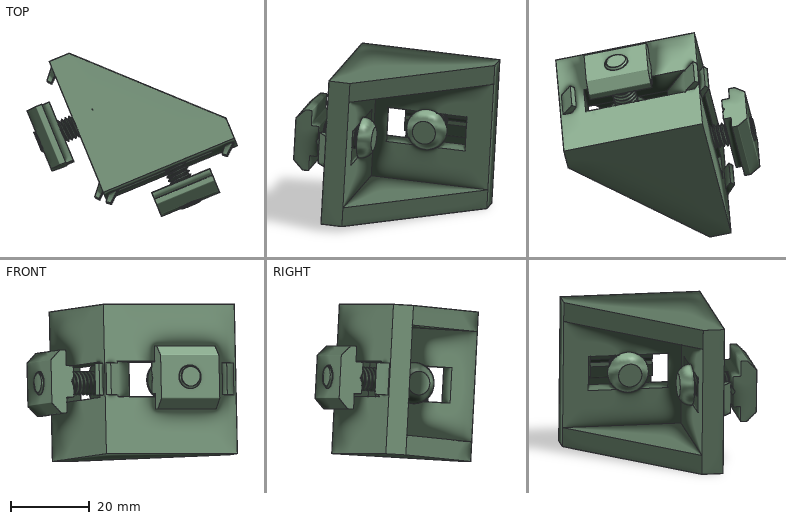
import cadquery as cq

TURN = 22.47
TILT = 3.16

LEG = 36.0
HEIGHT = 38.0
END_WIDTH = 5.5
WALL = 5.5
PLATE = 5.0
SLOT_HEIGHT = 9.0
SLOT_START = 3.5
SLOT_END = 29.5

LUG_HEIGHT = 8.1
LUG_FOOT = 2.3
LUG_REACH = 2.4
LUG_LEAN = 2.8
LUG_TIP_RUN = 0.95
LUG_TIP_RISE = 0.8
LUG_PITCH = 31.85

SCREW_POSITION = 19.3
SCREW_LENGTH = 16.0
SCREW_DIAMETER = 6.0
THREAD_PITCH = 1.0
THREAD_DEPTH = 0.6
THREAD_RUN_OUT = 0.7
THREAD_BASE = 0.8
THREAD_SINK = 0.1
THREAD_PHASE = 217.0
TIP_CHAMFER = 0.4
HEAD_DIAMETER = 10.5
HEAD_TOP_DIAMETER = 6.0
HEAD_HEIGHT = 3.3
HEAD_BULGE = 0.65

NUT_LENGTH = 16.0
NUT_WIDTH = 16.0
NUT_CHAMFER = 2.5
FLANGE_THICKNESS = 4.1
NECK_WIDTH = 8.0
NECK_HEIGHT = 2.0
NUT_ROUNDING = 0.3
GROOVE_WIDTH = 1.9
GROOVE_DEPTH = 0.55
TIP_PROTRUSION = 0.5


def mirror_to_other_leg(shape):
    """Mirror across the diagonal plane x = y, from the front wall to the side wall."""
    return shape.mirror(cq.Vector(1, -1, 0), (0, 0, 0))


def make_bracket():
    """Hollow corner block open on its sloping side, with a slot and two lugs on each wall."""
    block = (
        cq.Workplane("XY")
        .polyline([(0, 0), (LEG, 0), (LEG, END_WIDTH), (END_WIDTH, LEG), (0, LEG)])
        .close()
        .extrude(HEIGHT / 2, both=True)
    )
    cavity = (
        cq.Workplane("XY")
        .polyline([(WALL, WALL), (LEG + WALL, WALL), (WALL, LEG + WALL)])
        .close()
        .extrude(HEIGHT / 2 - PLATE, both=True)
    )
    slot = (
        cq.Workplane("XY")
        .polyline([(SLOT_START, 0), (SLOT_END, 0), (SLOT_END, WALL), (SLOT_START + WALL, WALL)])
        .close()
        .extrude(SLOT_HEIGHT / 2, both=True)
    )
    bracket = block.cut(cavity).cut(slot).cut(mirror_to_other_leg(slot))
    for foot_end in (SLOT_START, SLOT_START + LUG_PITCH):
        tip = foot_end - LUG_LEAN
        lug = (
            cq.Workplane("XY")
            .polyline([
                (foot_end, 0),
                (tip, -LUG_REACH),
                (tip - LUG_TIP_RUN, LUG_TIP_RISE - LUG_REACH),
                (foot_end - LUG_FOOT, 0),
            ])
            .close()
            .extrude(LUG_HEIGHT / 2, both=True)
        )
        bracket = bracket.union(lug).union(mirror_to_other_leg(lug))
    return bracket


def make_thread():
    """Right-hand helical ridge along +Z, sunk a little into the core and running past both ends."""
    root = SCREW_DIAMETER / 2 - THREAD_DEPTH - THREAD_SINK
    half_base = THREAD_BASE / 2 * (1 + THREAD_SINK / THREAD_DEPTH)
    helix = cq.Wire.makeHelix(THREAD_PITCH, SCREW_LENGTH + 2 * THREAD_RUN_OUT, SCREW_DIAMETER / 2)
    return (
        cq.Workplane("XZ")
        .polyline([(root, -half_base), (SCREW_DIAMETER / 2, 0), (root, half_base)])
        .close()
        .sweep(cq.Workplane(obj=helix), isFrenet=True)
        .rotate((0, 0, 0), (0, 0, 1), THREAD_PHASE)
        .translate((0, 0, -THREAD_RUN_OUT))
    )


def make_screw():
    """Screw along -Y through the front wall, its head against the wall's inner face."""
    shank_radius = SCREW_DIAMETER / 2
    head_radius = HEAD_DIAMETER / 2
    clear_radius = shank_radius + THREAD_SINK
    tip_radius = shank_radius - TIP_CHAMFER
    envelope = (
        cq.Workplane("XZ")
        .moveTo(0, -HEAD_HEIGHT)
        .lineTo(HEAD_TOP_DIAMETER / 2, -HEAD_HEIGHT)
        .sagittaArc((head_radius, 0), -HEAD_BULGE)
        .lineTo(clear_radius, 0)
        .lineTo(clear_radius, SCREW_LENGTH - (clear_radius - tip_radius))
        .lineTo(tip_radius, SCREW_LENGTH)
        .lineTo(0, SCREW_LENGTH)
        .close()
        .revolve(360, (0, 0, 0), (0, 1, 0))
    )
    core = cq.Workplane("XY").circle(shank_radius - THREAD_DEPTH).extrude(SCREW_LENGTH + THREAD_PITCH)
    head = cq.Workplane("XY").circle(head_radius).extrude(-HEAD_HEIGHT)
    screw = core.union(make_thread()).union(head).intersect(envelope)
    return screw.rotate((0, 0, 0), (1, 0, 0), 90).translate((0, WALL, 0))


def make_nut():
    """Slot nut on the screw axis, its flange outward and its neck toward the wall."""
    top = FLANGE_THICKNESS + NECK_HEIGHT
    flange_edge = NUT_WIDTH / 2
    face_edge = flange_edge - NUT_CHAMFER
    neck_edge = NECK_WIDTH / 2
    half_outline = [
        (top, GROOVE_WIDTH / 2),
        (top, neck_edge),
        (FLANGE_THICKNESS, neck_edge),
        (FLANGE_THICKNESS, flange_edge),
        (NUT_CHAMFER, flange_edge),
        (0, face_edge),
    ]
    other_half = [(y, -z) for y, z in reversed(half_outline)]
    nut = (
        cq.Workplane("YZ")
        .polyline([(top - GROOVE_DEPTH, 0)] + half_outline + other_half)
        .close()
        .extrude(NUT_LENGTH / 2, both=True)
    )
    for side in (1, -1):
        for y, z in half_outline[1:]:
            nut = nut.edges(cq.selectors.NearestToPointSelector((0, y, side * z))).fillet(NUT_ROUNDING)
    screw_hole = cq.Workplane("XZ").circle(SCREW_DIAMETER / 2).extrude(-top)
    outer_face = WALL - SCREW_LENGTH + TIP_PROTRUSION
    return nut.cut(screw_hole).translate((0, outer_face, 0))


def on_both_walls(body):
    """A copy of the body on the front wall and another turned onto the side wall."""
    front = body.translate((SCREW_POSITION, 0, 0))
    side = body.rotate((0, 0, 0), (0, 0, 1), -90).translate((0, SCREW_POSITION, 0))
    return [front, side]


def place(body):
    """Lean and turn a body from the bracket's own axes into its final attitude."""
    return body.rotate((0, 0, 0), (1, 0, 0), -TILT).rotate((0, 0, 0), (0, 0, 1), TURN)


bodies = [make_bracket()] + on_both_walls(make_screw()) + on_both_walls(make_nut())
result = cq.Compound.makeCompound([place(body).val() for body in bodies])